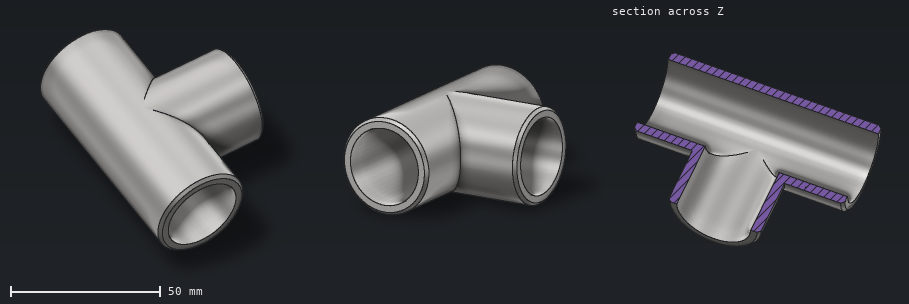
import cadquery as cq

run_length = 76.2
outer_diameter = 33.53
bore_diameter = 26.64
end_bevel_length = 1.1
end_bevel_depth = 1.1

center_to_end = run_length / 2
outer_radius = outer_diameter / 2


def beveled_rod(start_plane, length, bevel_edges):
    """Solid outer cylinder with its open ends beveled."""
    rod = cq.Workplane(start_plane).circle(outer_radius).extrude(length)
    return rod.edges(bevel_edges).chamfer(end_bevel_length, end_bevel_depth)


def bore(start_plane, length):
    """Cylinder removed along the axis of a pipe leg."""
    return cq.Workplane(start_plane).circle(bore_diameter / 2).extrude(length)


run_start = cq.Plane(origin=(-center_to_end, 0, 0), xDir=(0, 0, 1), normal=(1, 0, 0))
branch_start = cq.Plane(origin=(0, 0, 0), xDir=(0, 0, 1), normal=(0, 1, 0))

run = beveled_rod(run_start, run_length, "%CIRCLE")
branch = beveled_rod(branch_start, center_to_end, ">Y")

tee_body = run.union(branch)
result = tee_body.cut(bore(run_start, run_length)).cut(bore(branch_start, center_to_end))